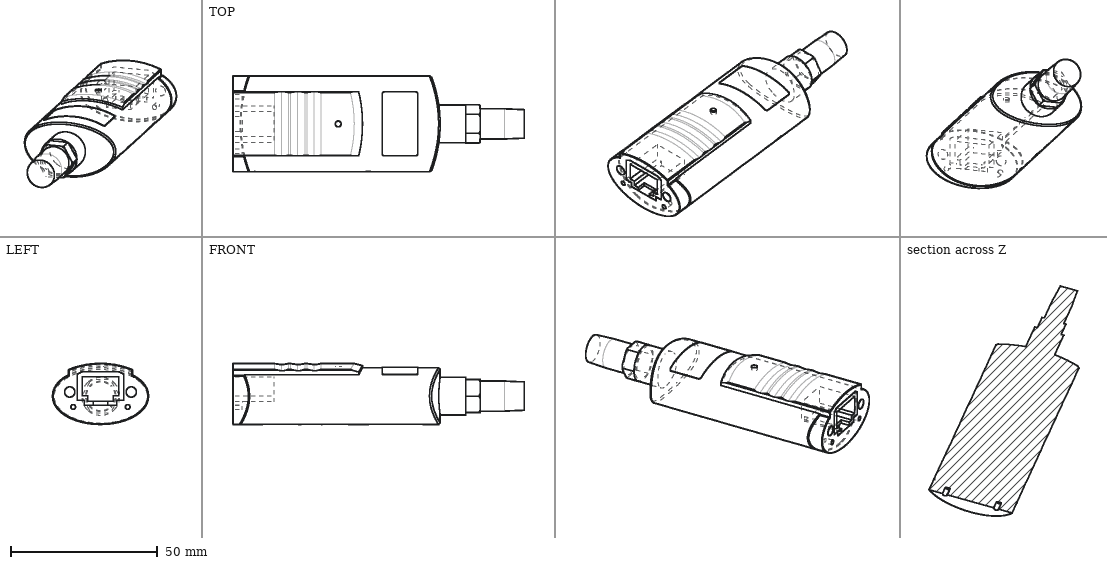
import cadquery as cq
import math


TOTAL_LENGTH = 99.5
BODY_HALF_WIDTH = 16.4
BODY_HALF_HEIGHT = 9.7
COVER_TOP = 11.2

BODY_LENGTH = 70.8
BODY_SIDE_LENGTH = 67.7
REAR_CHAMFER = 0.55
FRONT_CHAMFER = 0.2

CAP_SIDE_LENGTH = 5.4
CAP_MIDDLE_LENGTH = 2.4
CAP_COVER_GAP = 0.3
CAP_GROOVE_WIDTH = 0.35
CAP_GROOVE_DEPTH = 0.2

COVER_HALF_WIDTH = 10.93
COVER_EDGE_HEIGHT = 9.05
COVER_LENGTH = 44.3
COVER_SIDE_LENGTH = 43.0
COVER_EDGE_BEVEL = 0.25
COVER_SLOPE_LENGTH = 2.9
COVER_SLOPE_DROP = 0.8

GROOVE_COUNT = 3
FIRST_GROOVE_X = 16.5
GROOVE_PITCH = 5.6
GROOVE_WIDTH = 4.8
GROOVE_DEPTH = 0.36

INDICATOR_X = 36.0
INDICATOR_DIAMETER = 2.0
INDICATOR_DEPTH = 1.0

LABEL_START = 51.0
LABEL_END = 63.2
LABEL_HALF_WIDTH = 10.93
LABEL_CORNER_RADIUS = 0.8
LABEL_HEIGHT = 0.15

COLLAR_DIAMETER = 13.0
COLLAR_START = 62.5
COLLAR_END = 79.6
HEX_SIDES = 6
HEX_ACROSS_CORNERS = 13.1
HEX_END = 84.4
HEX_CORNER_CHAMFER = 0.35
TUBE_DIAMETER = 10.4
TUBE_STRAIGHT_END = 92.7
TUBE_TIP_DIAMETER = 9.8

SOCKET_FACE_RECESS = 0.1
SOCKET_HALF_WIDTH = 7.95
SOCKET_TOP = 8.35
SOCKET_SHOULDER = 7.45
SOCKET_TOP_HALF_WIDTH = 6.2
SOCKET_STEP = -1.35
SOCKET_FOOT_HALF_WIDTH = 5.55
SOCKET_BOTTOM = -3.05
CAVITY_HALF_WIDTH = 6.2
CAVITY_TOP = 6.6
CAVITY_STEP = 0.05
CAVITY_FOOT_HALF_WIDTH = 4.3
CAVITY_BOTTOM = -1.8
CAVITY_DEPTH = 14.0
LATCH_SLOT_HALF_WIDTH = 2.55
LATCH_SLOT_DEPTH = 3.3

LAMP_Y = 10.5
LAMP_Z = 1.4
LAMP_DIAMETER = 3.5
LAMP_RECESS = 0.1
PIN_HOLE_Y = 9.3
PIN_HOLE_Z = -3.7
PIN_HOLE_DIAMETER = 1.6
PIN_HOLE_DEPTH = 3.0


def box(x_range, y_range, z_range):
    """Box between the given limits."""
    sizes = [high - low for low, high in (x_range, y_range, z_range)]
    corner = (x_range[0], y_range[0], z_range[0])
    return cq.Workplane("XY").box(*sizes, centered=False).translate(corner)


def elliptic_bar(half_width, half_height, length):
    """Elliptical bar from the front face along X."""
    return cq.Workplane("YZ").ellipse(half_width, half_height).extrude(length)


def bowed_prism(half_width, side_length, middle_length):
    """Tall prism from X = 0 whose far end is an arc in plan."""
    return (
        cq.Workplane("XY")
        .moveTo(0, -half_width)
        .lineTo(side_length, -half_width)
        .threePointArc((middle_length, 0), (side_length, half_width))
        .lineTo(0, half_width)
        .close()
        .extrude(2 * COVER_TOP, both=True)
    )


def make_body():
    body = elliptic_bar(BODY_HALF_WIDTH, BODY_HALF_HEIGHT, BODY_LENGTH)
    body = body.intersect(bowed_prism(BODY_HALF_WIDTH, BODY_SIDE_LENGTH, BODY_LENGTH))
    return body.faces(">X").edges().chamfer(REAR_CHAMFER)


def cap_region(growth):
    """Space taken by the front cap, grown rearwards and towards the cover."""
    region = bowed_prism(BODY_HALF_WIDTH, CAP_SIDE_LENGTH + growth, CAP_MIDDLE_LENGTH + growth)
    half_gap = COVER_HALF_WIDTH + CAP_COVER_GAP - growth
    under_cover = box((0, BODY_LENGTH), (-half_gap, half_gap), (0, 2 * COVER_TOP))
    return region.cut(under_cover)


def cut_cap_groove(body):
    """Cut the shallow groove that parts the front cap from the rest of the body."""
    groove_floor = elliptic_bar(
        BODY_HALF_WIDTH - CAP_GROOVE_DEPTH, BODY_HALF_HEIGHT - CAP_GROOVE_DEPTH, BODY_LENGTH
    )
    groove = cap_region(CAP_GROOVE_WIDTH).cut(cap_region(0)).cut(groove_floor)
    return body.cut(groove)


def cover_radius():
    """Radius of the arc across the cover's top."""
    rise = COVER_TOP - COVER_EDGE_HEIGHT
    return (COVER_HALF_WIDTH**2 + rise**2) / (2 * rise)


def make_cover():
    """Arched cover with a bowed, sloping rear end and bevelled long edges."""
    cover = (
        cq.Workplane("YZ")
        .moveTo(-COVER_HALF_WIDTH, 0)
        .lineTo(-COVER_HALF_WIDTH, COVER_EDGE_HEIGHT)
        .threePointArc((0, COVER_TOP), (COVER_HALF_WIDTH, COVER_EDGE_HEIGHT))
        .lineTo(COVER_HALF_WIDTH, 0)
        .close()
        .extrude(COVER_LENGTH)
    )
    cover = cover.intersect(bowed_prism(COVER_HALF_WIDTH, COVER_SIDE_LENGTH, COVER_LENGTH))
    end_edge = cover.faces(">X").edges(">Z").val()
    sloped = cover.val().chamfer(COVER_SLOPE_LENGTH, COVER_SLOPE_DROP, [end_edge])
    return cq.Workplane(sloped).faces(">Z").edges("|X").chamfer(COVER_EDGE_BEVEL)


def finger_groove(x):
    """Ring that cuts one groove along the cover's arc: a flat ramp, then a hollow rear half."""
    half_width = GROOVE_WIDTH / 2
    hollow_radius = (half_width**2 + GROOVE_DEPTH**2) / (2 * GROOVE_DEPTH)
    hollow_angle = math.asin(half_width / hollow_radius) / 2
    floor_z = COVER_TOP - GROOVE_DEPTH
    arc_middle = (
        x + hollow_radius * math.sin(hollow_angle),
        floor_z + hollow_radius * (1 - math.cos(hollow_angle)),
    )
    clear_z = COVER_TOP + GROOVE_DEPTH
    axis_z = COVER_TOP - cover_radius()
    return (
        cq.Workplane("XZ")
        .moveTo(x - half_width, COVER_TOP)
        .lineTo(x, floor_z)
        .threePointArc(arc_middle, (x + half_width, COVER_TOP))
        .lineTo(x + half_width, clear_z)
        .lineTo(x - half_width, clear_z)
        .close()
        .revolve(360, (0, axis_z), (1, axis_z))
    )


def cut_finger_grooves(cover):
    for index in range(GROOVE_COUNT):
        cover = cover.cut(finger_groove(FIRST_GROOVE_X + index * GROOVE_PITCH))
    return cover


def make_label():
    label_length = LABEL_END - LABEL_START
    outline = (
        cq.Workplane("XY")
        .center((LABEL_START + LABEL_END) / 2, 0)
        .rect(label_length, 2 * LABEL_HALF_WIDTH)
        .extrude(COVER_TOP)
        .edges("|Z")
        .fillet(LABEL_CORNER_RADIUS)
    )
    skin = elliptic_bar(
        BODY_HALF_WIDTH + LABEL_HEIGHT, BODY_HALF_HEIGHT + LABEL_HEIGHT, BODY_LENGTH
    )
    return outline.intersect(skin)


def make_gland():
    """Collar rooted in the body, then the hexagon and the tube."""
    collar = (
        cq.Workplane("YZ", (COLLAR_START, 0, 0))
        .circle(COLLAR_DIAMETER / 2)
        .extrude(COLLAR_END - COLLAR_START)
    )
    hexagon = (
        cq.Workplane("YZ", (COLLAR_END, 0, 0))
        .polygon(HEX_SIDES, HEX_ACROSS_CORNERS)
        .extrude(HEX_END - COLLAR_END)
    )
    corner_trim = (
        cq.Workplane("YZ", (COLLAR_END, 0, 0))
        .circle(HEX_ACROSS_CORNERS / 2)
        .extrude(HEX_END - COLLAR_END)
        .faces(">X")
        .chamfer(HEX_CORNER_CHAMFER)
    )
    hexagon = hexagon.intersect(corner_trim)
    tube = (
        cq.Workplane("XY")
        .moveTo(HEX_END, 0)
        .lineTo(HEX_END, TUBE_DIAMETER / 2)
        .lineTo(TUBE_STRAIGHT_END, TUBE_DIAMETER / 2)
        .lineTo(TOTAL_LENGTH, TUBE_TIP_DIAMETER / 2)
        .lineTo(TOTAL_LENGTH, 0)
        .close()
        .revolve(360, (0, 0), (1, 0))
    )
    return collar.union(hexagon).union(tube)


def cut_socket(part):
    face_recess = (
        cq.Workplane("YZ")
        .moveTo(-SOCKET_FOOT_HALF_WIDTH, SOCKET_BOTTOM)
        .lineTo(-SOCKET_FOOT_HALF_WIDTH, SOCKET_STEP)
        .lineTo(-SOCKET_HALF_WIDTH, SOCKET_STEP)
        .lineTo(-SOCKET_HALF_WIDTH, SOCKET_SHOULDER)
        .lineTo(-SOCKET_TOP_HALF_WIDTH, SOCKET_TOP)
        .lineTo(SOCKET_TOP_HALF_WIDTH, SOCKET_TOP)
        .lineTo(SOCKET_HALF_WIDTH, SOCKET_SHOULDER)
        .lineTo(SOCKET_HALF_WIDTH, SOCKET_STEP)
        .lineTo(SOCKET_FOOT_HALF_WIDTH, SOCKET_STEP)
        .lineTo(SOCKET_FOOT_HALF_WIDTH, SOCKET_BOTTOM)
        .close()
        .extrude(SOCKET_FACE_RECESS)
    )
    depth = (0, CAVITY_DEPTH)
    wide = box(depth, (-CAVITY_HALF_WIDTH, CAVITY_HALF_WIDTH), (CAVITY_STEP, CAVITY_TOP))
    foot = box(
        depth, (-CAVITY_FOOT_HALF_WIDTH, CAVITY_FOOT_HALF_WIDTH), (CAVITY_BOTTOM, CAVITY_TOP)
    )
    latch_slot = box(
        (0, LATCH_SLOT_DEPTH),
        (-LATCH_SLOT_HALF_WIDTH, LATCH_SLOT_HALF_WIDTH),
        (SOCKET_BOTTOM, CAVITY_TOP),
    )
    return part.cut(face_recess).cut(wide.union(foot).union(latch_slot))


def cut_front_pair(part, y, z, diameter, depth):
    """Cut one round recess in the front face on each side of the socket."""
    pair = cq.Workplane("YZ").pushPoints([(-y, z), (y, z)]).circle(diameter / 2).extrude(depth)
    return part.cut(pair)


def cut_indicator(part):
    hole = (
        cq.Workplane("XY", (INDICATOR_X, 0, COVER_TOP - INDICATOR_DEPTH))
        .circle(INDICATOR_DIAMETER / 2)
        .extrude(2 * INDICATOR_DEPTH)
    )
    return part.cut(hole)


part = cut_cap_groove(make_body())
part = part.union(cut_finger_grooves(make_cover()))
part = part.union(make_label()).union(make_gland())
part = part.faces("<X").edges().chamfer(FRONT_CHAMFER)
part = cut_socket(part)
part = cut_front_pair(part, LAMP_Y, LAMP_Z, LAMP_DIAMETER, LAMP_RECESS)
part = cut_front_pair(part, PIN_HOLE_Y, PIN_HOLE_Z, PIN_HOLE_DIAMETER, PIN_HOLE_DEPTH)
result = cut_indicator(part)